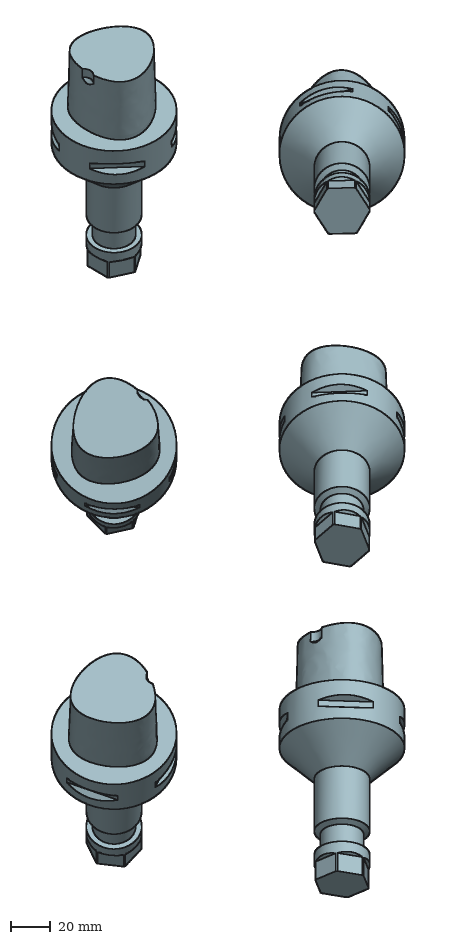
import cadquery as cq
import math

TOTAL_HEIGHT = 138.0
FLANGE_TOP = 100.0
FLANGE_BOTTOM = 78.0
CONE_BOTTOM = 60.2
SHANK_BOTTOM = 30.2
COLLAR_TOP = 17.0
HEX_TOP = 10.4

FLANGE_DIAMETER = 63.0
SHANK_DIAMETER = 28.0
NECK_DIAMETER = 22.0

POLYGON_RADIUS = 22.1
LOBE_HEIGHT = 1.4
LAND_HEIGHT = 2.9
TAPER_RATIO = 0.025

GROOVE_FLOOR = 28.3
GROOVE_CENTER = 87.9
GROOVE_WIDTH = 3.5
GROOVE_COUNT = 4

HEX_FLAT_DISTANCE = 12.35
HEX_COUNT = 6

NOTCH_DIAMETER = 10.0
NOTCH_INNER_EDGE = 18.0
NOTCH_DEPTH = 5.5

SLOPE = math.tan(math.radians(30))
CLEARANCE = 1.4


def turned_body():
    """Flange, cone, shank, neck and nut collar revolved about Z."""
    flange_radius = FLANGE_DIAMETER / 2
    shank_radius = SHANK_DIAMETER / 2
    neck_radius = NECK_DIAMETER / 2
    neck_top = SHANK_BOTTOM - (shank_radius - neck_radius) * SLOPE
    profile = [
        (0, 0),
        (shank_radius, 0),
        (shank_radius, COLLAR_TOP),
        (neck_radius, COLLAR_TOP),
        (neck_radius, neck_top),
        (shank_radius, SHANK_BOTTOM),
        (shank_radius, CONE_BOTTOM),
        (flange_radius, FLANGE_BOTTOM),
        (flange_radius, FLANGE_TOP),
        (0, FLANGE_TOP),
    ]
    return cq.Workplane("XZ").polyline(profile).close().revolve(360, (0, 0), (0, 1))


def lobed_wire(radius, height):
    """Closed hypotrochoid with one lobe pointing along +Y."""
    def point(turn):
        angle = 2 * math.pi * turn
        x = radius * math.sin(angle) - LOBE_HEIGHT * math.sin(2 * angle)
        y = radius * math.cos(angle) + LOBE_HEIGHT * math.cos(2 * angle)
        return (x, y, height)

    samples = 48
    points = [cq.Vector(*point(i / samples)) for i in range(samples)]
    return cq.Wire.assembleEdges([cq.Edge.makeSpline(points, periodic=True)])


def lobed_shank():
    """Straight land at the flange, then a taper up to the top face."""
    land_top = FLANGE_TOP + LAND_HEIGHT
    top_radius = POLYGON_RADIUS - TAPER_RATIO * (TOTAL_HEIGHT - land_top)
    base = lobed_wire(POLYGON_RADIUS, FLANGE_TOP)
    middle = lobed_wire(POLYGON_RADIUS, land_top)
    top = lobed_wire(top_radius, TOTAL_HEIGHT)
    land = cq.Solid.makeLoft([base, middle], True)
    taper = cq.Solid.makeLoft([middle, top], True)
    return cq.Workplane(land).union(cq.Workplane(taper))


def side_cutter(profile, length, angle):
    """Bar with an XZ cross-section, centred on Y, turned about the main axis."""
    bar = cq.Workplane("XZ").polyline(profile).close().extrude(length / 2, both=True)
    return bar.rotate((0, 0, 0), (0, 0, 1), angle)


def cut_grooves(body):
    outer = FLANGE_DIAMETER / 2 + CLEARANCE
    floor_half = GROOVE_WIDTH / 2
    mouth_half = floor_half + (outer - GROOVE_FLOOR) * SLOPE
    profile = [
        (GROOVE_FLOOR, GROOVE_CENTER - floor_half),
        (outer, GROOVE_CENTER - mouth_half),
        (outer, GROOVE_CENTER + mouth_half),
        (GROOVE_FLOOR, GROOVE_CENTER + floor_half),
    ]
    step = 360 / GROOVE_COUNT
    for i in range(GROOVE_COUNT):
        body = body.cut(side_cutter(profile, FLANGE_DIAMETER, (i + 0.5) * step))
    return body


def cut_hexagon(body):
    """Six flats, each ending in a sloping shoulder under the collar."""
    outer = SHANK_DIAMETER / 2 + CLEARANCE
    shoulder_top = HEX_TOP + (outer - HEX_FLAT_DISTANCE) * SLOPE
    profile = [
        (HEX_FLAT_DISTANCE, -CLEARANCE),
        (outer, -CLEARANCE),
        (outer, shoulder_top),
        (HEX_FLAT_DISTANCE, HEX_TOP),
    ]
    step = 360 / HEX_COUNT
    for i in range(HEX_COUNT):
        body = body.cut(side_cutter(profile, SHANK_DIAMETER, (i + 0.5) * step))
    return body


def cut_notch(body):
    """Round notch on the -Y side with a 45 degree conical bottom."""
    radius = NOTCH_DIAMETER / 2
    floor = TOTAL_HEIGHT - NOTCH_DEPTH
    profile = [
        (0, floor - radius),
        (radius, floor),
        (radius, TOTAL_HEIGHT + CLEARANCE),
        (0, TOTAL_HEIGHT + CLEARANCE),
    ]
    cutter = cq.Workplane("XZ").polyline(profile).close().revolve(360, (0, 0), (0, 1))
    return body.cut(cutter.translate((0, -NOTCH_INNER_EDGE - radius, 0)))


body = cut_hexagon(cut_grooves(turned_body()))
result = body.union(cut_notch(lobed_shank()))